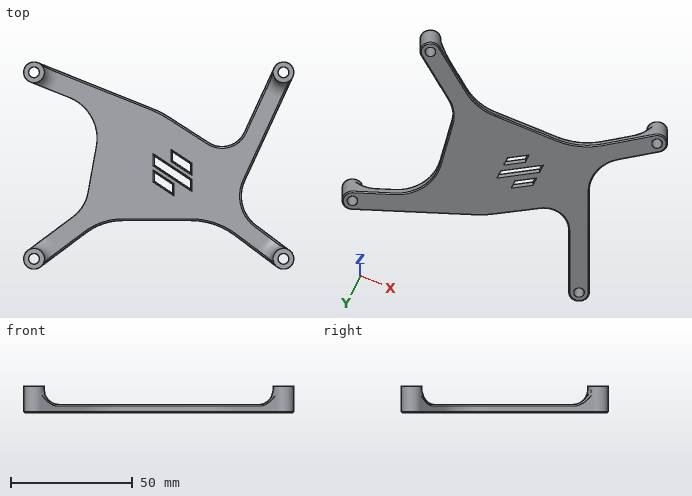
import cadquery as cq
import math

LENGTH = 110.9
WIDTH = 85.1
HEIGHT = 11.0
POST_RADIUS = 8.5 / 2
HOLE_RADIUS = 4.3 / 2
POST_X = LENGTH / 2 - POST_RADIUS
POST_Y = WIDTH / 2 - POST_RADIUS

PLATE_THICKNESS = 3.5
POST_FILLET = 6.0
BOTTOM_CHAMFER = 0.5
TOP_CHAMFER = 0.8

LOW_ARM_ANGLE = math.degrees(math.atan2(POST_Y, POST_X))
TOP_LEFT_ARM_ANGLE = -21.8
TOP_RIGHT_ARM_ANGLE = 245.2

FRONT_SIDE_Y = -22.6
LEFT_SIDE_POINT = (-27.3, -1.2)
LEFT_SIDE_ANGLE = 79.8
BACK_SIDE_POINT = (11.2, 15.4)
BACK_SIDE_ANGLE = -32.7

FRONT_LEFT_RADIUS = 25.0
FRONT_RIGHT_RADIUS = 29.9
RIGHT_RADIUS = 15.0
BACK_RIGHT_RADIUS = 10.1
BACK_LEFT_RADIUS = 39.9
LEFT_UPPER_RADIUS = 18.0
LEFT_LOWER_RADIUS = 15.5

SLOT_CENTER = (5.7, -2.9)
SLOT_GROUP_WIDTH = 15.9
SHORT_SLOT_WIDTH = 8.5
SLOT_HEIGHT = 5.0
SLOT_PITCH = 6.7
SLOT_ANGLE = -33.5
SLOT_CHAMFER = 0.5
SLOT_CHAMFER_ANGLE = 45

EDGE_TOLERANCE = 0.01
TANGENT_TOLERANCE = 0.001

FRONT_LEFT = ((-POST_X, -POST_Y), LOW_ARM_ANGLE)
FRONT_RIGHT = ((POST_X, -POST_Y), 180 - LOW_ARM_ANGLE)
BACK_RIGHT = ((POST_X, POST_Y), TOP_RIGHT_ARM_ANGLE)
BACK_LEFT = ((-POST_X, POST_Y), TOP_LEFT_ARM_ANGLE)
ARMS = [FRONT_LEFT, FRONT_RIGHT, BACK_RIGHT, BACK_LEFT]


def arm_side(arm, side):
    """Line along one side of an arm, from its tangent point on the post; side +1 is left of the arm."""
    (x, y), angle = arm
    normal = math.radians(angle + side * 90)
    point = (x + POST_RADIUS * math.cos(normal), y + POST_RADIUS * math.sin(normal))
    return point, angle


def crossing(first, second):
    """Point where two lines, each a point and an angle, cross."""
    (x1, y1), angle1 = first
    (x2, y2), angle2 = second
    dx1, dy1 = math.cos(math.radians(angle1)), math.sin(math.radians(angle1))
    dx2, dy2 = math.cos(math.radians(angle2)), math.sin(math.radians(angle2))
    travel = ((x2 - x1) * dy2 - (y2 - y1) * dx2) / (dx1 * dy2 - dy1 * dx2)
    return x1 + travel * dx1, y1 + travel * dy1


def add_side(outline, lines, radii):
    """Follow the lines from the first post to the second, rounding each corner between them."""
    corners = [crossing(a, b) for a, b in zip(lines, lines[1:])]
    stops = [lines[0][0]] + corners + [lines[-1][0]]
    for before, corner, after, radius in zip(stops, corners, stops[2:], radii):
        vertex = cq.Vector(*corner)
        back = (cq.Vector(*before) - vertex).normalized()
        ahead = (cq.Vector(*after) - vertex).normalized()
        half_angle = back.getAngle(ahead) / 2
        tangent_length = radius / math.tan(half_angle)
        corner_gap = radius / math.sin(half_angle) - radius
        start = vertex + back * tangent_length
        middle = vertex + (back + ahead).normalized() * corner_gap
        end = vertex + ahead * tangent_length
        outline = outline.lineTo(start.x, start.y).threePointArc((middle.x, middle.y), (end.x, end.y))
    return outline.lineTo(*lines[-1][0])


def round_post(outline, arm):
    """Go round the outer end of an arm, along its post."""
    (x, y), angle = arm
    outward = math.radians(angle + 180)
    far_point = (x + POST_RADIUS * math.cos(outward), y + POST_RADIUS * math.sin(outward))
    return outline.threePointArc(far_point, arm_side(arm, -1)[0])


def plate_outline():
    front_side = ((0, FRONT_SIDE_Y), 0)
    left_side = (LEFT_SIDE_POINT, LEFT_SIDE_ANGLE)
    back_side = (BACK_SIDE_POINT, BACK_SIDE_ANGLE)
    front = [arm_side(FRONT_LEFT, -1), front_side, arm_side(FRONT_RIGHT, 1)]
    right = [arm_side(FRONT_RIGHT, -1), arm_side(BACK_RIGHT, 1)]
    back = [arm_side(BACK_RIGHT, -1), back_side, arm_side(BACK_LEFT, 1)]
    left = [arm_side(BACK_LEFT, -1), left_side, arm_side(FRONT_LEFT, 1)]

    outline = cq.Workplane("XY").moveTo(*front[0][0])
    outline = add_side(outline, front, [FRONT_LEFT_RADIUS, FRONT_RIGHT_RADIUS])
    outline = round_post(outline, FRONT_RIGHT)
    outline = add_side(outline, right, [RIGHT_RADIUS])
    outline = round_post(outline, BACK_RIGHT)
    outline = add_side(outline, back, [BACK_RIGHT_RADIUS, BACK_LEFT_RADIUS])
    outline = round_post(outline, BACK_LEFT)
    outline = add_side(outline, left, [LEFT_UPPER_RADIUS, LEFT_LOWER_RADIUS])
    outline = round_post(outline, FRONT_LEFT)
    return outline.close()


def arm_web(arm):
    """Concave flare around a post, kept only within the width of its arm."""
    reach = POST_RADIUS + POST_FILLET
    top = PLATE_THICKNESS + POST_FILLET
    flare = (
        cq.Workplane("XZ")
        .lineTo(reach, 0)
        .lineTo(reach, PLATE_THICKNESS)
        .radiusArc((POST_RADIUS, top), POST_FILLET)
        .lineTo(0, top)
        .close()
        .revolve(360, (0, 0, 0), (0, 1, 0))
    )
    strip = cq.Workplane("XY").box(reach, 2 * POST_RADIUS, top, centered=(False, True, False))
    (x, y), angle = arm
    return flare.intersect(strip).rotate((0, 0, 0), (0, 0, 1), angle).translate((x, y, 0))


def post(arm):
    """Cylinder turned so that its seam lies on the inner side, under the web."""
    (x, y), _ = arm
    inward_angle = 180 if x > 0 else 0
    cylinder = cq.Workplane("XY").workplane(offset=BOTTOM_CHAMFER).circle(POST_RADIUS)
    cylinder = cylinder.extrude(HEIGHT - BOTTOM_CHAMFER)
    return cylinder.rotate((0, 0, 0), (0, 0, 1), inward_angle).translate((x, y, 0))


def is_left_of(arm, point):
    (x, y), angle = arm
    direction = math.radians(angle)
    return math.cos(direction) * (point.y - y) > math.sin(direction) * (point.x - x)


def is_chamfered_edge(edge):
    """True for upper rim edges along the front, right and back sides; the left side stays sharp."""
    middle = edge.positionAt(0.5)
    post_distance = min(math.hypot(middle.x - x, middle.y - y) for (x, y), _ in ARMS)
    starts_on_plate_top = abs(edge.BoundingBox().zmin - PLATE_THICKNESS) < EDGE_TOLERANCE
    outside_posts = post_distance > POST_RADIUS + EDGE_TOLERANCE
    is_web_foot = abs(post_distance - POST_RADIUS - POST_FILLET) < EDGE_TOLERANCE
    on_left_side = is_left_of(FRONT_LEFT, middle) and not is_left_of(BACK_LEFT, middle)
    return starts_on_plate_top and outside_posts and not is_web_foot and not on_left_side


def slot_prism(center, width, margin, start, depth, taper=0):
    """Prism with two vertical sides and two slanted ones, grown outwards by a margin."""
    slope = math.tan(math.radians(SLOT_ANGLE))
    half_width = width / 2 + margin
    half_height = SLOT_HEIGHT / 2 + margin / math.cos(math.radians(SLOT_ANGLE))
    x, y = center
    corners = [
        (x + sx * half_width, y + sx * half_width * slope + sy * half_height)
        for sx, sy in [(-1, -1), (1, -1), (1, 1), (-1, 1)]
    ]
    return cq.Workplane("XY").workplane(offset=start).polyline(corners).close().extrude(depth, taper=taper)


def slot_cutter(center, width):
    """Through slot whose upper rim is chamfered; the given width is that of the rim."""
    through = slot_prism(center, width, -SLOT_CHAMFER, 0, PLATE_THICKNESS)
    rim = slot_prism(center, width, 0, PLATE_THICKNESS, -SLOT_CHAMFER, taper=SLOT_CHAMFER_ANGLE)
    return through.union(rim)


body = plate_outline().extrude(PLATE_THICKNESS)
for arm in ARMS:
    body = body.union(arm_web(arm))
body = body.newObject([edge for edge in body.edges().vals() if is_chamfered_edge(edge)]).chamfer(TOP_CHAMFER)
body = body.faces("<Z").chamfer(BOTTOM_CHAMFER)

for arm in ARMS:
    body = body.union(post(arm), tol=TANGENT_TOLERANCE)
post_centers = [center for center, _ in ARMS]
body = body.cut(cq.Workplane("XY").pushPoints(post_centers).circle(HOLE_RADIUS).extrude(HEIGHT))

slot_x, slot_y = SLOT_CENTER
short_shift = (SLOT_GROUP_WIDTH - SHORT_SLOT_WIDTH) / 2
body = body.cut(slot_cutter(SLOT_CENTER, SLOT_GROUP_WIDTH))
for side in (-1, 1):
    slant_drop = short_shift * math.tan(math.radians(SLOT_ANGLE))
    center = (slot_x + side * short_shift, slot_y + side * (SLOT_PITCH + slant_drop))
    body = body.cut(slot_cutter(center, SHORT_SLOT_WIDTH))

result = body